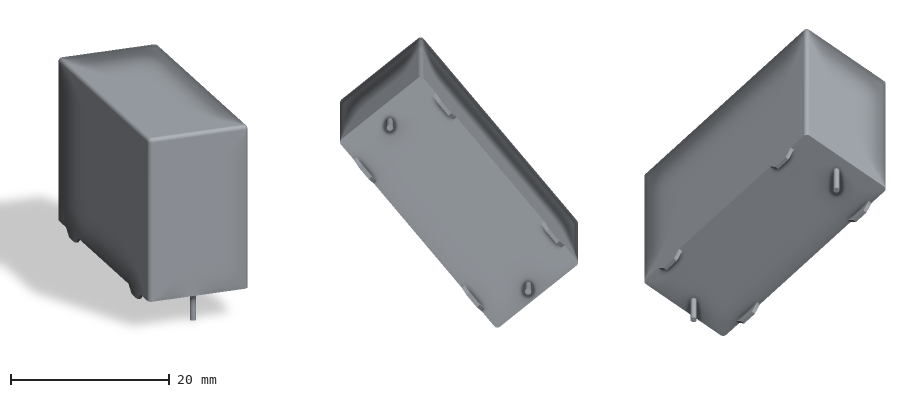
import cadquery as cq


case_length = 31.5
case_width = 13.5
overall_height = 26.0
lead_length = 4.0
case_height = overall_height - lead_length
edge_radius = 0.5

lead_pitch = 27.5
lead_diameter = 0.8

foot_height = 1.0
foot_thickness = edge_radius
foot_tip_length = 2.02
foot_root_length = foot_tip_length + 2 * foot_height
foot_center_x = 10.75


def make_case():
    """Box with rounded vertical edges and a rounded top rim."""
    box = cq.Workplane("XY").box(case_length, case_width, case_height, centered=(True, True, False))
    return box.edges("|Z or >Z").fillet(edge_radius)


def make_foot(center_x, back_y):
    """Tapered foot hanging below the case, its +Y face at Y = back_y."""
    return (
        cq.Workplane("XZ", origin=(center_x, back_y, 0))
        .moveTo(-foot_root_length / 2, 0)
        .lineTo(-foot_tip_length / 2, -foot_height)
        .lineTo(foot_tip_length / 2, -foot_height)
        .lineTo(foot_root_length / 2, 0)
        .close()
        .extrude(foot_thickness)
    )


def make_lead(center_x):
    """Round lead hanging straight down from the underside."""
    return cq.Workplane("XY", origin=(center_x, 0, 0)).circle(lead_diameter / 2).extrude(-lead_length)


result = make_case()
for side in (-1, 1):
    result = result.union(make_lead(side * lead_pitch / 2))
    for back_y in (case_width / 2, foot_thickness - case_width / 2):
        result = result.union(make_foot(side * foot_center_x, back_y))